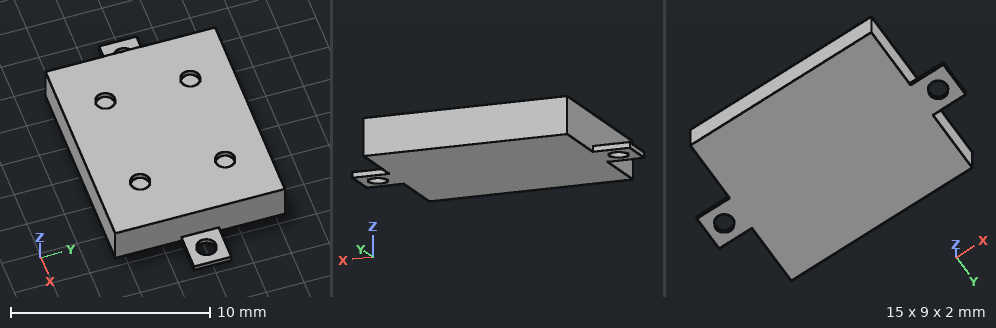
import cadquery as cq

overall_length = 15.0
body_width = 9.0
body_height = 2.0
tab_size = 2.0
tab_thickness = 0.3
hole_diameter = 1.0
recess_depth = 0.3

body_length = overall_length - 2 * tab_size
tab_center_x = (overall_length - tab_size) / 2

recess_spacing_x = body_length / 2
recess_spacing_y = body_width / 2

body = cq.Workplane("XY").box(body_length, body_width, body_height, centered=(True, True, False))

tabs = cq.Workplane("XY").box(overall_length, tab_size, tab_thickness, centered=(True, True, False))

tab_holes = (
    cq.Workplane("XY")
    .pushPoints([(-tab_center_x, 0), (tab_center_x, 0)])
    .circle(hole_diameter / 2)
    .extrude(tab_thickness)
)

recesses = (
    cq.Workplane("XY", origin=(0, 0, body_height))
    .rarray(recess_spacing_x, recess_spacing_y, 2, 2)
    .circle(hole_diameter / 2)
    .extrude(-recess_depth)
)

result = body.union(tabs).cut(tab_holes).cut(recesses)